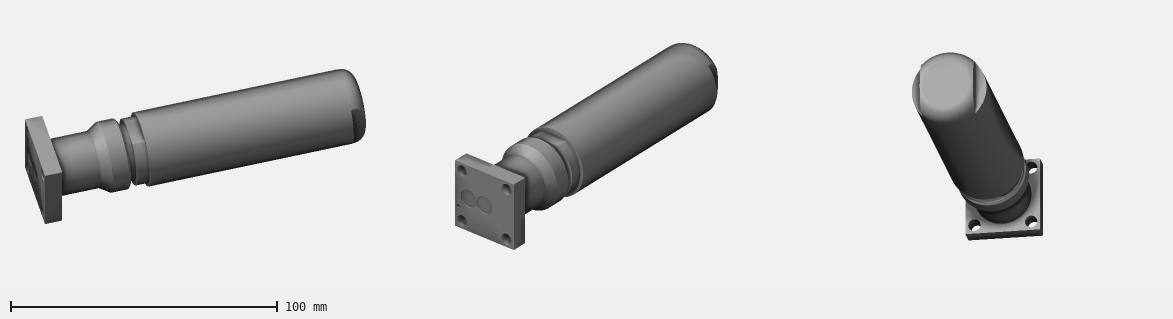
import cadquery as cq

LENGTH = 126.0
WIDTH = 28.5

FLANGE_BACK = 6.7
CONE_START = 22.5
COLLAR_START = 26.7
COLLAR_CHAMFER_START = 33.1
COLLAR_END = 33.9
NUT_START = 36.3
BODY_START = 41.1

BODY_RADIUS = WIDTH / 2
NECK_RADIUS = 11.0
COLLAR_RADIUS = 13.6
COLLAR_CHAMFER_RADIUS = 12.7
NUT_RADIUS = 12.9

NUT_FLATS_WIDTH = 22.9
TAIL_FLATS_WIDTH = 20.3
TAIL_FLATS_LENGTH = 5.9
TAIL_FILLET = 5.0

MOUNT_HOLE_SPACING = 21.7
MOUNT_HOLE_DIAMETER = 4.7
RECESS_DIAMETER = 7.5
RECESS_DEPTH = 0.5
RECESS_CENTRES = [(-7.7, 0), (0, 0)]
MARK_DIAMETER = 1.6
MARK_DEPTH = 1.0
MARK_CENTRE = (-12.7, -5.0)


def box_between(width, height, start, end):
    """Box centred on the Y axis, from Y = start to Y = end."""
    length = end - start
    return cq.Workplane("XY").box(width, length, height).translate((0, (start + end) / 2, 0))


def cylinder_between(radius, start, end):
    """Cylinder on the Y axis, from Y = start to Y = end."""
    return cq.Workplane("XZ", origin=(0, start, 0)).circle(radius).extrude(start - end)


def make_stem():
    """Neck with its collar: conical in front, chamfered behind."""
    profile = [
        (0, FLANGE_BACK),
        (NECK_RADIUS, FLANGE_BACK),
        (NECK_RADIUS, CONE_START),
        (COLLAR_RADIUS, COLLAR_START),
        (COLLAR_RADIUS, COLLAR_CHAMFER_START),
        (COLLAR_CHAMFER_RADIUS, COLLAR_END),
        (NECK_RADIUS, COLLAR_END),
        (NECK_RADIUS, NUT_START),
        (0, NUT_START),
    ]
    return cq.Workplane("XY").polyline(profile).close().revolve(360, (0, 0), (0, 1))


def make_nut():
    """Round section with two flats facing up and down."""
    nut = cylinder_between(NUT_RADIUS, NUT_START, BODY_START)
    return nut.intersect(box_between(WIDTH, NUT_FLATS_WIDTH, NUT_START, BODY_START))


def make_body():
    """Long cylinder with a rounded tail and two flats facing sideways."""
    flats_start = LENGTH - TAIL_FLATS_LENGTH
    body = cylinder_between(BODY_RADIUS, BODY_START, LENGTH).faces(">Y").edges().fillet(TAIL_FILLET)
    outside_flats = box_between(WIDTH, WIDTH, flats_start, LENGTH).cut(
        box_between(TAIL_FLATS_WIDTH, WIDTH, flats_start, LENGTH)
    )
    return body.cut(outside_flats)


def make_flange():
    """Square plate with corner holes, two shallow round recesses and a small blind hole."""
    plate = box_between(WIDTH, WIDTH, 0, FLANGE_BACK)
    front = cq.Workplane("XZ")
    holes = front.rect(MOUNT_HOLE_SPACING, MOUNT_HOLE_SPACING, forConstruction=True).vertices()
    plate = plate.cut(holes.circle(MOUNT_HOLE_DIAMETER / 2).extrude(-FLANGE_BACK))
    recesses = front.pushPoints(RECESS_CENTRES).circle(RECESS_DIAMETER / 2)
    plate = plate.cut(recesses.extrude(-RECESS_DEPTH))
    mark = front.pushPoints([MARK_CENTRE]).circle(MARK_DIAMETER / 2)
    return plate.cut(mark.extrude(-MARK_DEPTH))


result = make_flange().union(make_stem()).union(make_nut()).union(make_body())